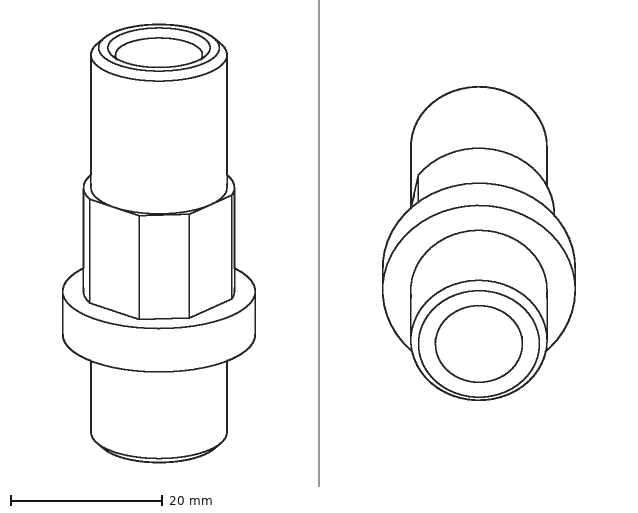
import cadquery as cq
import math

total_length = 56.15
tube_diameter = 18.0
bore_diameter = 11.5
end_chamfer = 1.0
bore_chamfer = 1.0

flange_diameter = 25.5
flange_bottom = 15.0
flange_thickness = 6.25
flange_top = flange_bottom + flange_thickness
collar_diameter = 20.0
collar_length = 14.9
collar_radius = collar_diameter / 2
flat_wall = 0.01
flat_distance = tube_diameter / 2 + flat_wall
flat_half_width = math.sqrt(collar_radius**2 - flat_distance**2)


def make_tube():
    """Tube with chamfered ends and a through bore with a chamfered upper mouth."""
    rod = (
        cq.Workplane("XY")
        .circle(tube_diameter / 2)
        .extrude(total_length)
        .faces("<Z or >Z")
        .chamfer(end_chamfer)
    )
    bored_tube = rod.faces(">Z").workplane().hole(bore_diameter)
    bore_mouth = cq.selectors.RadiusNthSelector(0)
    return bored_tube.faces(">Z").edges(bore_mouth).chamfer(bore_chamfer)


def make_collar():
    """Round length cut by flats on +X and -Y, whose near corners a 45 degree flat joins."""
    arc_middle = collar_radius * math.cos(math.radians(45))
    return (
        cq.Workplane("XY", origin=(0, 0, flange_top))
        .moveTo(flat_distance, flat_half_width)
        .threePointArc((-arc_middle, arc_middle), (-flat_half_width, -flat_distance))
        .lineTo(flat_half_width, -flat_distance)
        .lineTo(flat_distance, -flat_half_width)
        .close()
        .extrude(collar_length)
    )


def make_sleeve():
    """Flange and collar in one piece, bored to fit around the tube."""
    flange = (
        cq.Workplane("XY", origin=(0, 0, flange_bottom))
        .circle(flange_diameter / 2)
        .extrude(flange_thickness)
    )
    tube_hole = cq.Workplane("XY").circle(tube_diameter / 2).extrude(total_length)
    return flange.union(make_collar()).cut(tube_hole)


tube = make_tube().solids()
sleeve = make_sleeve().solids()
result = cq.Compound.makeCompound([tube.val(), sleeve.val()])